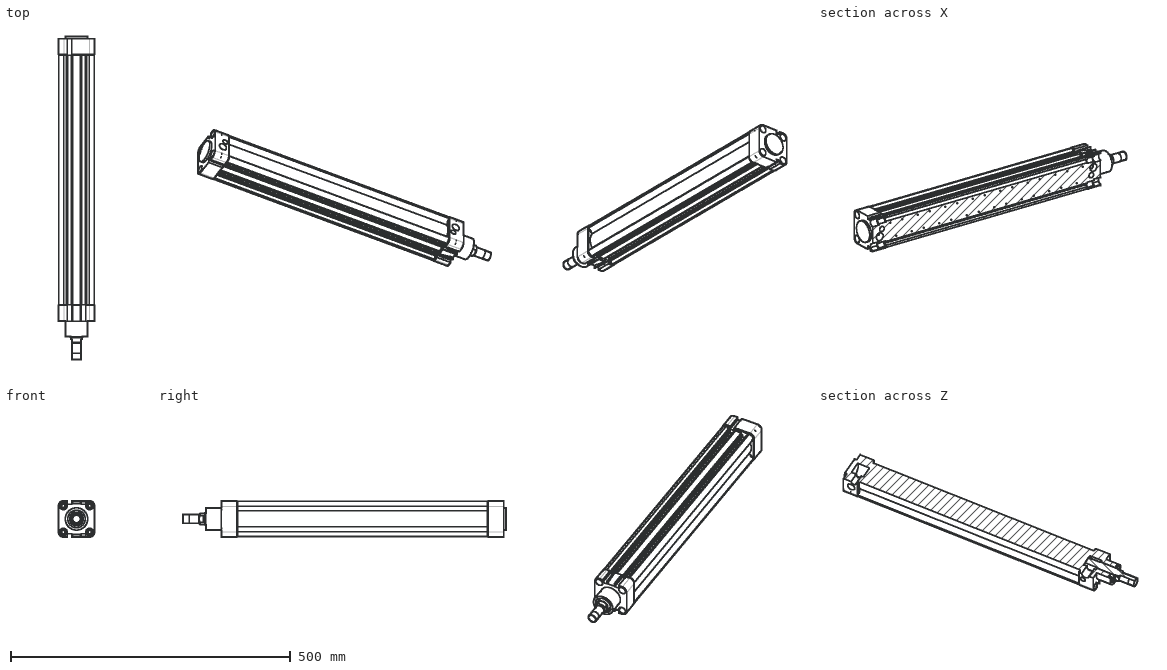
import cadquery as cq
import math


TOTAL_LENGTH = 578.0
THREAD_LENGTH = 29.0
FRONT_PROJECTION = 69.0
FRONT_BOSS_LENGTH = 28.0
CAP_LENGTH = 29.5
REAR_BOSS_LENGTH = 4.0
LIP_PROJECTION = 2.0

ROD_TIP_Y = -TOTAL_LENGTH / 2
SHOULDER_Y = ROD_TIP_Y + THREAD_LENGTH
FRONT_FACE_Y = ROD_TIP_Y + FRONT_PROJECTION
FRONT_BOSS_Y = FRONT_FACE_Y - FRONT_BOSS_LENGTH
LIP_TIP_Y = FRONT_BOSS_Y - LIP_PROJECTION
FRONT_SEAM_Y = FRONT_FACE_Y + CAP_LENGTH
REAR_END_Y = TOTAL_LENGTH / 2
REAR_FACE_Y = REAR_END_Y - REAR_BOSS_LENGTH
REAR_SEAM_Y = REAR_FACE_Y - CAP_LENGTH

WIDTH = 65.0
HALF_WIDTH = WIDTH / 2
CORNER_RADIUS = 9.0
CORNER_START = HALF_WIDTH - CORNER_RADIUS
CAP_CHAMFER = 1.45
BOSS_DIAMETER = 40.0

TUBE_INSET = 0.5
BARREL_DIAMETER = 54.5
SLOT_SPACING = 25.0
SLOT_STEPS = (
    (12.0, 25.0),
    (9.0, 23.0),
    (6.5, 18.5),
)

CAP_NOTCH = (8.0, 16.0)
CAP_NOTCH_FLOOR = 26.5
RAMP_HALF_WIDTH = 7.0
RAMP_TOP = 32.0
RAMP_FOOT = 27.0

TIE_SPACING = 47.0
TIE_DIAMETER = 6.5
TIE_CAP_DIAMETER = 9.0
TIE_COUNTERBORE_DIAMETER = 13.5
TIE_COUNTERBORE_DEPTH = 14.5

PORT_DIAMETER = 14.0
SCREW_DIAMETER = 9.0
SIDE_HOLE_OFFSET = 7.0
PORT_INSET = 16.0
SCREW_INSET = 21.0

CHAMBER_DIAMETER = 27.0
CHAMBER_LENGTH = 23.0

ROD_DIAMETER = 20.0
THREAD_DIAMETER = 16.0
SHOULDER_CHAMFER = (ROD_DIAMETER - THREAD_DIAMETER) / 2
TIP_HOLE_DIAMETER = 14.0
TIP_HOLE_DEPTH = 11.5
FLAT_WIDTH = 17.0
FLAT_LENGTH = 7.5
RECESS_DIAMETER = 31.0
RECESS_DEPTH = 4.5
LIP_BASE_DIAMETER = 24.0
LIP_TIP_DIAMETER = 21.5


def rod_along_y(diameter, start, end, x=0, z=0):
    """Round bar parallel to Y from start to end."""
    return cq.Workplane(cq.Solid.makeCylinder(
        diameter / 2, end - start, cq.Vector(x, start, z), cq.Vector(0, 1, 0)))


def block(x_range, y_range, z_range):
    """Box given by its limits along each axis."""
    limits = (x_range, y_range, z_range)
    sizes = [high - low for low, high in limits]
    corner = cq.Vector(*[low for low, high in limits])
    return cq.Workplane(cq.Solid.makeBox(*sizes, corner))


def above_and_below(shape):
    """The shape together with its mirror image below the axis."""
    return shape.union(shape.mirror("XY"))


def make_cap(face_y, seam_y):
    """Rounded square block, chamfered around the end that meets the tube."""
    cap = block((-HALF_WIDTH, HALF_WIDTH), sorted((face_y, seam_y)), (-HALF_WIDTH, HALF_WIDTH))
    cap = cap.edges("|Y").fillet(CORNER_RADIUS)
    seam_side = ">Y" if seam_y > face_y else "<Y"
    return cap.faces(seam_side).chamfer(CAP_CHAMFER)


def cap_notches(side, start, end):
    """Notches above and below, open lengthwise; side is -1 for -X and 1 for +X."""
    x_range = sorted(side * edge for edge in CAP_NOTCH)
    return above_and_below(block(x_range, (start, end), (CAP_NOTCH_FLOOR, HALF_WIDTH)))


def make_front_cap():
    cap = make_cap(FRONT_FACE_Y, FRONT_SEAM_Y)
    for side in (-1, 1):
        cap = cap.cut(cap_notches(side, FRONT_FACE_Y, FRONT_SEAM_Y))
    ramp_cut = (
        cq.Workplane("YZ")
        .polyline([
            (FRONT_FACE_Y, RAMP_FOOT),
            (FRONT_SEAM_Y, RAMP_TOP),
            (FRONT_SEAM_Y, HALF_WIDTH),
            (FRONT_FACE_Y, HALF_WIDTH),
        ])
        .close()
        .extrude(RAMP_HALF_WIDTH, both=True)
    )
    return cap.cut(above_and_below(ramp_cut))


def make_rear_cap():
    cap = make_cap(REAR_FACE_Y, REAR_SEAM_Y)
    return cap.cut(cap_notches(-1, REAR_SEAM_Y, REAR_FACE_Y))


def make_lobe():
    """Wedge from the axis to one rounded corner, with 45-degree walls down to the barrel."""
    side = HALF_WIDTH - TUBE_INSET
    corner_radius = side - CORNER_START
    foot_middle = math.sqrt(BARREL_DIAMETER**2 / 8 - corner_radius**2 / 4)
    foot_far = foot_middle + corner_radius / 2
    foot_near = foot_middle - corner_radius / 2
    corner_middle = CORNER_START + corner_radius * math.sqrt(0.5)
    return (
        cq.Workplane("XZ", origin=(0, REAR_SEAM_Y, 0))
        .lineTo(foot_far, foot_near)
        .lineTo(side, CORNER_START)
        .threePointArc((corner_middle, corner_middle), (CORNER_START, side))
        .lineTo(foot_near, foot_far)
        .close()
        .extrude(REAR_SEAM_Y - FRONT_SEAM_Y)
    )


def make_tube():
    tube = rod_along_y(BARREL_DIAMETER, FRONT_SEAM_Y, REAR_SEAM_Y)
    lobe = make_lobe()
    for turn in range(4):
        tube = tube.union(lobe.rotate((0, 0, 0), (0, 1, 0), 90 * turn))
    for middle in (-SLOT_SPACING / 2, SLOT_SPACING / 2):
        for width, floor in SLOT_STEPS:
            x_range = (middle - width / 2, middle + width / 2)
            step = block(x_range, (FRONT_SEAM_Y, REAR_SEAM_Y), (floor, HALF_WIDTH))
            tube = tube.cut(above_and_below(step))
    return tube


def tie_hole(x, z):
    """Stepped hole through the whole length at one corner, counterbored at both ends."""
    hole = rod_along_y(TIE_DIAMETER, FRONT_FACE_Y, REAR_FACE_Y, x, z)
    hole = hole.union(rod_along_y(TIE_CAP_DIAMETER, FRONT_FACE_Y, FRONT_SEAM_Y, x, z))
    hole = hole.union(rod_along_y(TIE_CAP_DIAMETER, REAR_SEAM_Y, REAR_FACE_Y, x, z))
    front_ledge = FRONT_FACE_Y + TIE_COUNTERBORE_DEPTH
    rear_ledge = REAR_FACE_Y - TIE_COUNTERBORE_DEPTH
    hole = hole.union(rod_along_y(TIE_COUNTERBORE_DIAMETER, FRONT_FACE_Y, front_ledge, x, z))
    return hole.union(rod_along_y(TIE_COUNTERBORE_DIAMETER, rear_ledge, REAR_FACE_Y, x, z))


def side_hole(diameter, y, z):
    """Hole from the -X side to the mid-plane, opening into an air chamber."""
    return cq.Workplane(cq.Solid.makeCylinder(
        diameter / 2, HALF_WIDTH, cq.Vector(-HALF_WIDTH, y, z), cq.Vector(1, 0, 0)))


def make_wiper_lip():
    """Tapered collar from the recess floor to just beyond the boss face."""
    height = RECESS_DEPTH + LIP_PROJECTION
    return cq.Workplane(cq.Solid.makeCone(
        LIP_BASE_DIAMETER / 2, LIP_TIP_DIAMETER / 2, height,
        cq.Vector(0, FRONT_BOSS_Y + RECESS_DEPTH, 0), cq.Vector(0, -1, 0)))


def make_housing():
    body = make_tube().union(make_front_cap()).union(make_rear_cap())
    body = body.union(rod_along_y(BOSS_DIAMETER, FRONT_BOSS_Y, FRONT_FACE_Y))
    body = body.union(rod_along_y(BOSS_DIAMETER, REAR_FACE_Y, REAR_END_Y))

    tie_places = (-TIE_SPACING / 2, TIE_SPACING / 2)
    for x in tie_places:
        for z in tie_places:
            body = body.cut(tie_hole(x, z))

    body = body.cut(rod_along_y(CHAMBER_DIAMETER, FRONT_SEAM_Y - CHAMBER_LENGTH, FRONT_SEAM_Y))
    body = body.cut(rod_along_y(CHAMBER_DIAMETER, REAR_SEAM_Y, REAR_SEAM_Y + CHAMBER_LENGTH))
    body = body.cut(side_hole(PORT_DIAMETER, FRONT_FACE_Y + PORT_INSET, SIDE_HOLE_OFFSET))
    body = body.cut(side_hole(SCREW_DIAMETER, FRONT_FACE_Y + SCREW_INSET, -SIDE_HOLE_OFFSET))
    body = body.cut(side_hole(PORT_DIAMETER, REAR_FACE_Y - PORT_INSET, -SIDE_HOLE_OFFSET))
    body = body.cut(side_hole(SCREW_DIAMETER, REAR_FACE_Y - SCREW_INSET, SIDE_HOLE_OFFSET))

    body = body.cut(rod_along_y(RECESS_DIAMETER, FRONT_BOSS_Y, FRONT_BOSS_Y + RECESS_DEPTH))
    body = body.union(make_wiper_lip())
    return body.cut(rod_along_y(ROD_DIAMETER, LIP_TIP_Y, FRONT_SEAM_Y))


def make_piston_rod():
    rod = rod_along_y(ROD_DIAMETER, SHOULDER_Y, FRONT_SEAM_Y)
    rod = rod.faces("<Y").chamfer(SHOULDER_CHAMFER)
    for side in (-1, 1):
        x_range = sorted((side * FLAT_WIDTH / 2, side * ROD_DIAMETER / 2))
        y_range = (SHOULDER_Y, SHOULDER_Y + FLAT_LENGTH)
        rod = rod.cut(block(x_range, y_range, (-ROD_DIAMETER / 2, ROD_DIAMETER / 2)))
    rod = rod.union(rod_along_y(THREAD_DIAMETER, ROD_TIP_Y, SHOULDER_Y))
    return rod.cut(rod_along_y(TIP_HOLE_DIAMETER, ROD_TIP_Y, ROD_TIP_Y + TIP_HOLE_DEPTH))


housing = make_housing()
piston_rod = make_piston_rod()

result = cq.Compound.makeCompound([housing.solids().val(), piston_rod.solids().val()])